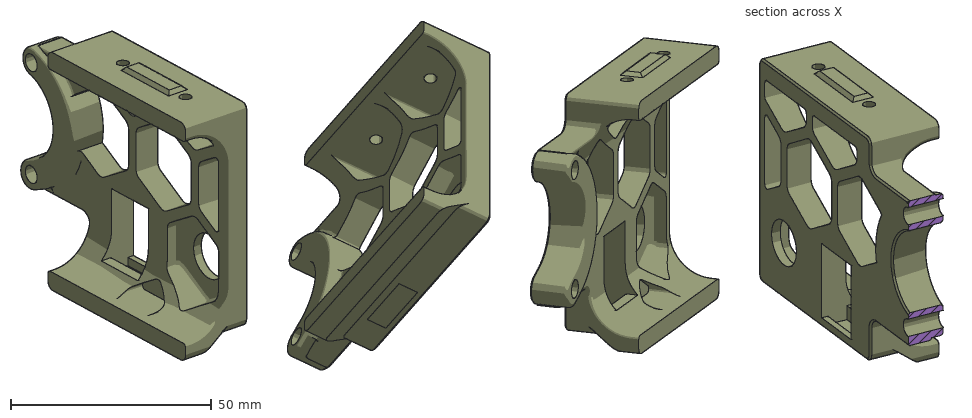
import cadquery as cq
import math

body_width = 55.0
body_depth = 20.0
body_top = 33.0
front_bottom = -33.0
rear_bottom = -29.0
corner_radius = 2.0
edge_radius = 1.0
rear_chamfer = 0.5
body_left = -body_width / 2
body_right = body_width / 2

slope_start_y = -9.3
slope_end_y = -14.5

lip_inner = 28.0
plate_thickness = 7.0
channel_radius = 11.0
channel_center_y = -(plate_thickness + channel_radius)
channel_center_z = lip_inner - channel_radius

part_left = -51.15
motor_hole_x = -46.3
motor_hole_pitch = 31.0
motor_hole_diameter = 4.7
motor_center_z = 4.0
ring_mid_radius = 16.0
ring_half_width = 4.0
ring_thickness = 10.25
arm_blend_radius = 3.0
arm_top = 23.7
arm_bottom = -16.6
tail_z = -12.1
ring_blend_end_angle = math.radians(58)

upper_hole_z = motor_center_z + motor_hole_pitch / 2
lower_hole_z = motor_center_z - motor_hole_pitch / 2
ring_center_x = motor_hole_x - math.sqrt(ring_mid_radius**2 - (motor_hole_pitch / 2) ** 2)
ring_inner_radius = ring_mid_radius - ring_half_width
ring_outer_radius = ring_mid_radius + ring_half_width
tail_x = part_left + ring_half_width

boss_angle = math.atan2(upper_hole_z - motor_center_z, motor_hole_x - ring_center_x)
tail_offset_x = tail_x - ring_center_x
tail_offset_z = tail_z - motor_center_z
tail_angle = math.atan2(tail_offset_z, tail_offset_x) + math.acos(
    ring_mid_radius / math.hypot(tail_offset_x, tail_offset_z)
)

cell_flats = 22.0
cell_web = 3.0
cell_pitch = cell_flats + cell_web
row_pitch = cell_pitch * math.cos(math.radians(30))
cell_corner_radius = 2.5
trim_corner_radius = 1.0
grid_x = 2.5
grid_z = 8.15
grid_right = body_right - cell_web
notch_rear_y = -8.2

pocket_floor_y = -2.5
pocket_floor_radius = 2.0
pocket_hole_diameter = 12.2

window_left = -18.2
window_width = 14.6
window_bottom = -24.9
window_height = 19.0
latch_front_y = -7.3
latch_rear_y = -1.8
latch_floor_z = -28.8
rear_sill_z = -26.5

top_center_x = grid_x
top_center_y = -10.0
pad_length = 19.0
pad_width = 6.0
pad_height = 1.0
pin_hole_diameter = 3.2


def prism(front_y, rear_y, draw):
    """Prism between two Y values; `draw` adds an (x, z) outline to a workplane."""
    return draw(cq.Workplane("XZ", origin=(0, front_y, 0))).extrude(front_y - rear_y)


def box(x_range, y_range, z_range):
    size = [high - low for low, high in (x_range, y_range, z_range)]
    corner = [low for low, high in (x_range, y_range, z_range)]
    return cq.Workplane("XY").box(*size, centered=False).translate(tuple(corner))


def ring_point(radius, angle):
    return (ring_center_x + radius * math.cos(angle), motor_center_z + radius * math.sin(angle))


def rounded_block(bottom):
    block = box((body_left, body_right), (-body_depth, 0), (bottom, body_top))
    return block.edges("|Y").fillet(corner_radius)


def make_body():
    slope = (slope_end_y - slope_start_y) / (front_bottom - rear_bottom)
    slope_top_y = slope_start_y + slope * (body_top - rear_bottom)
    front_zone = (
        cq.Workplane("YZ", origin=(body_left, 0, 0))
        .moveTo(-body_depth, front_bottom)
        .lineTo(slope_end_y, front_bottom)
        .lineTo(slope_top_y, body_top)
        .lineTo(-body_depth, body_top)
        .close()
        .extrude(body_width)
    )
    return rounded_block(rear_bottom).union(rounded_block(front_bottom).intersect(front_zone))


def make_arm():
    """Arm blank; its left boundary runs along the middle of the ring."""
    outline = [
        (body_left + corner_radius, arm_top),
        (motor_hole_x, arm_top),
        (motor_hole_x, upper_hole_z),
        ring_point(ring_mid_radius, 0),
        ring_point(ring_mid_radius, tail_angle),
        (tail_x, tail_z),
        (tail_x, arm_bottom),
        (body_left + corner_radius, arm_bottom),
    ]
    return prism(-body_depth, 0, lambda plane: plane.polyline(outline).close())


def make_channel(start_x, end_x):
    mid_offset = channel_radius * math.sqrt(0.5)
    overhang = 1.0
    return (
        cq.Workplane("YZ", origin=(start_x - overhang, 0, 0))
        .moveTo(-body_depth - overhang, -lip_inner)
        .lineTo(channel_center_y, -lip_inner)
        .threePointArc(
            (channel_center_y + mid_offset, -channel_center_z - mid_offset),
            (-plate_thickness, -channel_center_z),
        )
        .lineTo(-plate_thickness, channel_center_z)
        .threePointArc(
            (channel_center_y + mid_offset, channel_center_z + mid_offset),
            (channel_center_y, lip_inner),
        )
        .lineTo(-body_depth - overhang, lip_inner)
        .close()
        .extrude(end_x - start_x + 2 * overhang)
    )


def borders_channel(edge):
    """True for edges where the channel runs out through a side of the body or the arm."""
    tolerance = 0.01
    middle = edge.positionAt(0.5)
    on_left = motor_hole_x + tolerance < middle.x < body_left + tolerance
    on_right = middle.x > body_right - tolerance
    if not (on_left or on_right):
        return False
    height = abs(middle.z)
    if middle.y < channel_center_y:
        return abs(height - lip_inner) < tolerance
    if height < channel_center_z:
        return abs(middle.y + plate_thickness) < tolerance
    radius = math.hypot(middle.y - channel_center_y, height - channel_center_z)
    return abs(radius - channel_radius) < tolerance


def make_frame():
    """Body and arm with the channel cut and its side borders rounded."""
    frame = make_body().union(make_arm())
    reach = 0.1
    for z in (arm_top, arm_bottom):
        inner_corner = cq.selectors.BoxSelector(
            (body_left - reach, -body_depth, z - reach), (body_left + reach, 0, z + reach)
        )
        frame = frame.edges("|Y").edges(inner_corner).fillet(arm_blend_radius)
    frame = frame.cut(make_channel(part_left, body_right))
    border = [edge for edge in frame.edges().vals() if borders_channel(edge)]
    return frame.newObject(border).fillet(edge_radius)


def make_ring():
    """Open ring with a round boss at its upper end and a straight, rounded tail at its lower end."""
    boss_tip = (
        motor_hole_x - ring_half_width * math.sin(boss_angle),
        upper_hole_z + ring_half_width * math.cos(boss_angle),
    )
    tail_tip = (
        tail_x + ring_half_width * math.sin(tail_angle),
        tail_z - ring_half_width * math.cos(tail_angle),
    )
    tail_side = (ring_half_width * math.cos(tail_angle), ring_half_width * math.sin(tail_angle))

    def outline(plane):
        return (
            plane.moveTo(*ring_point(ring_outer_radius, boss_angle))
            .threePointArc(
                ring_point(ring_outer_radius, 0), ring_point(ring_outer_radius, tail_angle)
            )
            .lineTo(tail_x + tail_side[0], tail_z + tail_side[1])
            .threePointArc(tail_tip, (tail_x - tail_side[0], tail_z - tail_side[1]))
            .lineTo(*ring_point(ring_inner_radius, tail_angle))
            .threePointArc(
                ring_point(ring_inner_radius, 0), ring_point(ring_inner_radius, boss_angle)
            )
            .threePointArc(boss_tip, ring_point(ring_outer_radius, boss_angle))
            .close()
        )

    return prism(-ring_thickness, 0, outline).faces("<Y").edges().fillet(edge_radius)


def ring_disc(front_y, radius):
    return prism(
        front_y,
        0,
        lambda plane: plane.center(ring_center_x, motor_center_z).circle(radius),
    )


def meets_disc(edge):
    """True for the edges where the ring's outer wall rises from the channel surface."""
    tolerance = 0.01
    middle = edge.positionAt(0.5)
    radius = math.hypot(middle.x - ring_center_x, middle.z - motor_center_z)
    on_wall = abs(radius - ring_outer_radius) < tolerance
    below_rim = -ring_thickness < middle.y - tolerance < -plate_thickness
    return on_wall and below_rim and edge.geomType() != "LINE"


def make_ring_blend():
    """Concave fillet between the ring's outer wall and the channel surface.

    The fillet is formed on a full disc standing on a wide plate, then trimmed to a
    narrow sector around the ring.
    """
    margin = 5.0
    plate_left = ring_center_x - ring_outer_radius - margin
    plate_right = ring_center_x + ring_outer_radius + margin
    plate = box(
        (plate_left, plate_right),
        (-body_depth, 0),
        (-channel_center_z - edge_radius, lip_inner - edge_radius),
    )
    plate = plate.cut(make_channel(plate_left, plate_right))
    blank = plate.union(ring_disc(-ring_thickness, ring_outer_radius))
    joint = [edge for edge in blank.edges().vals() if meets_disc(edge)]
    blank = blank.newObject(joint).fillet(edge_radius)

    reach = ring_outer_radius + margin
    sector = [
        ring_point(0, 0),
        ring_point(reach, tail_angle),
        ring_point(reach * math.sqrt(2), 0),
        ring_point(reach, ring_blend_end_angle),
    ]
    trim = prism(
        edge_radius - ring_thickness,
        edge_radius / 2 - plate_thickness,
        lambda plane: plane.polyline(sector).close(),
    )
    trim = trim.intersect(ring_disc(-body_depth, ring_outer_radius + 1.5 * edge_radius))
    trim = trim.cut(ring_disc(-body_depth, ring_outer_radius - edge_radius))
    return blank.intersect(trim)


def make_shell():
    """Frame and ring in one piece, before any openings."""
    shell = make_frame().union(make_ring())
    shell = shell.faces(">Y").edges().chamfer(rear_chamfer)
    return shell.union(make_ring_blend())


def cell_center(column, row):
    """Centre of a cell as (x, z); rows count downward and odd rows are shifted half a pitch right."""
    return (grid_x + (column + (row % 2) / 2) * cell_pitch, grid_z - row * row_pitch)


def sharp_cell(column, row, front_y, rear_y):
    """Hexagonal prism with sharp corners."""
    center_x, center_z = cell_center(column, row)
    across_points = cell_flats / math.cos(math.radians(30))
    hexagon = prism(
        front_y,
        rear_y,
        lambda plane: plane.center(center_x, center_z).polygon(6, across_points),
    )
    return hexagon.rotate((center_x, 0, center_z), (center_x, 1, center_z), 30)


def trim_to_field(cutter):
    """Keep a web at the right side and leave both lips whole."""
    field = box((part_left, grid_right), (-body_depth, 0), (-lip_inner, lip_inner))
    return cutter.intersect(field)


def on_trim_line(edge):
    tolerance = 0.001
    middle = edge.positionAt(0.5)
    return abs(middle.x - grid_right) < tolerance or abs(abs(middle.z) - lip_inner) < tolerance


def rounded_cell(column, row, front_y, rear_y):
    """Cell cutter whose trimmed corners have a smaller radius than the corners of the hexagon."""
    rounded = sharp_cell(column, row, front_y, rear_y).edges("|Y").fillet(cell_corner_radius)
    trimmed = trim_to_field(rounded)
    sharp = [edge for edge in trimmed.edges("|Y").vals() if on_trim_line(edge)]
    return trimmed.newObject(sharp).fillet(trim_corner_radius) if sharp else trimmed


def make_cells():
    """Open cells, kept clear of the ring, and the blind notch in the lower lip."""
    through_cells = [(-1, -1), (0, -1), (-1, 0), (0, 0), (1, 0)]
    cells = rounded_cell(0, 2, -body_depth, notch_rear_y)
    for column, row in through_cells:
        cells = cells.union(rounded_cell(column, row, -body_depth, 0))
    return cells.cut(ring_disc(-body_depth, ring_outer_radius))


def make_pocket():
    """Hexagonal pocket with a rounded floor and a round hole through it."""
    pocket = trim_to_field(sharp_cell(0, 1, -body_depth, pocket_floor_y))
    pocket = pocket.edges("|Y").fillet(cell_corner_radius)
    pocket = pocket.faces(">Y").edges().fillet(pocket_floor_radius)
    hole = prism(
        -body_depth,
        0,
        lambda plane: plane.center(*cell_center(0, 1)).circle(pocket_hole_diameter / 2),
    )
    return pocket.union(hole)


def make_window():
    """Window through the plate, with a latch groove and a lowered rear sill below it."""
    x_range = (window_left, window_left + window_width)
    window_top = window_bottom + window_height
    opening = box(x_range, (-body_depth, 0), (window_bottom, window_top))
    groove = box(x_range, (latch_front_y, latch_rear_y), (latch_floor_z, window_top))
    sill = box(x_range, (latch_rear_y, 0), (rear_sill_z, window_top))
    return opening.union(groove).union(sill)


def make_motor_holes():
    centers = [(motor_hole_x, upper_hole_z), (motor_hole_x, lower_hole_z)]
    return prism(
        -body_depth,
        0,
        lambda plane: plane.pushPoints(centers).circle(motor_hole_diameter / 2),
    )


def make_pin_holes():
    """Two holes through the upper lip, each above the middle of a cell."""
    offset = cell_pitch / 2
    return (
        cq.Workplane("XY", origin=(top_center_x, top_center_y, lip_inner))
        .pushPoints([(-offset, 0), (offset, 0)])
        .circle(pin_hole_diameter / 2)
        .extrude(body_top - lip_inner)
    )


def make_pad():
    """Raised pad with 45 degree sides on the top face."""
    return (
        cq.Workplane("XY", origin=(top_center_x, top_center_y, body_top))
        .rect(pad_length, pad_width)
        .extrude(pad_height, taper=45)
    )


result = make_shell().union(make_pad())
for cutter in (make_cells(), make_pocket(), make_window(), make_motor_holes(), make_pin_holes()):
    result = result.cut(cutter)